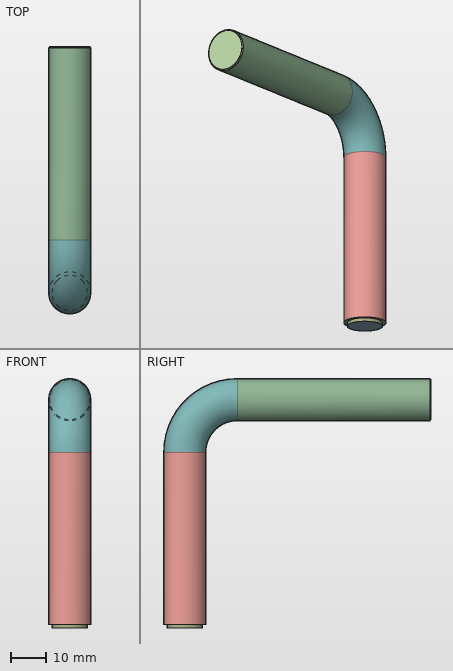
import cadquery as cq

rod_diameter = 12.0
length_y = 76.0
height_z = 71.0
bend_radius = 15.0
spigot_diameter = 10.0
spigot_length = 1.0
end_chamfer = 0.3

rod_radius = rod_diameter / 2
horizontal_axis_z = height_z - spigot_length - rod_radius
horizontal_end_y = length_y - rod_radius
bend_start_z = horizontal_axis_z - bend_radius


def bent_rod():
    """Round bar running up, around a quarter bend, then out along +Y."""
    centreline = (
        cq.Workplane("YZ")
        .moveTo(0, 0)
        .lineTo(0, bend_start_z)
        .radiusArc((bend_radius, horizontal_axis_z), bend_radius)
        .lineTo(horizontal_end_y, horizontal_axis_z)
    )
    rod = cq.Workplane("XY").circle(rod_radius).sweep(centreline)
    return rod.faces(">Y").chamfer(end_chamfer)


def spigot():
    """Short reduced-diameter step below the vertical leg."""
    return cq.Workplane("XY").circle(spigot_diameter / 2).extrude(-spigot_length)


result = bent_rod().union(spigot())